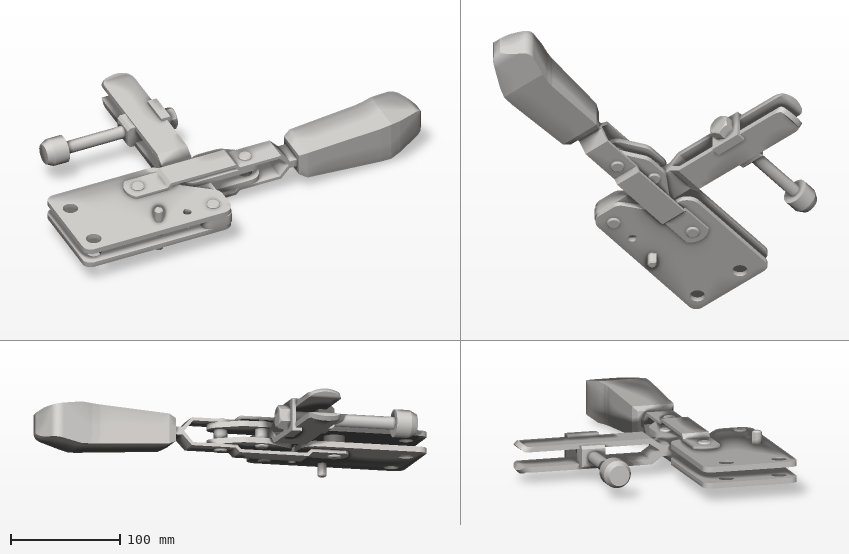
import cadquery as cq
import math


tang_thickness = 10.0
plate_thickness = 5.0
sheet_thickness = 3.0
plate_inner = tang_thickness / 2
plate_outer = plate_inner + plate_thickness
rivet_radius = 6.3
rivet_chamfer = 1.0
rivet_head_height = 2.02

lever_pivot = (0, 0)
lever_link_pivot = (0, 108.2)
arm_pivot = (50.5, 52.5)
link_rivet = (-14.5, 73.0)
link_foot = (0, 53.7)

base_left, base_right = -25.0, 65.0
base_bottom, base_top = -82.5, 67.7
base_corner_radius = 8.0
base_crest_radius = 10.5
shoulder_radius = 14.5
notch_floor = 35.5
notch_ramp_start = 8.5
notch_ramp_end = 33.0
mounting_hole_radius = 7.0
mounting_hole_y = -68.0
mounting_hole_xs = (0, 50.5)

stop_x = 50.0
stop_ys = (-2.2, 26.5)
stop_radius = 4.0
stop_ridge = 5.0
stop_length = 45.0
stop_chamfer = 1.0

overall_length_x = 230.5
arm_width = 30.0
arm_gap = 14.0
arm_tip = base_right - overall_length_x
tip_rise = 4.5
tip_arc_radius = 25.8
tip_corner_radius = 7.7
merge_outer_x = -28.5
merge_inner_x = -30.0
merge_length = 10.3

lever_width = 25.8
lever_top = 155.0
neck_half = 3.5
lever_end = -13.0
lever_end_sagitta = 5.5
neck_end, fork_start = 147.5, 138.7
bulge_low, bulge_high = 28.0, 93.0
bulge_rise = 4.0
spacer_radius = 10.0

link_radius = 13.0
link_left = base_left
link_corner_radius = 14.7
link_shoulder_ys = (69.0, 93.5)

grip_top = base_bottom + 368
grip_base_half = 10.5
grip_heel_half = 14.0
grip_heel_y = 162
grip_crown_half = 19.5
grip_crown_y = 247.0
grip_brow_half = 14.5
grip_brow_y = 277.5
grip_tip_half = 9.2
grip_tip_middle = (282.3, 12.5)
grip_right_edge = [(17.0, lever_top), (20.5, grip_heel_y), (21.5, 235.5), (20.5, 246.2), (17.0, 257.0), (3.5, 283.5)]
grip_tip_right_middle = (0.5, grip_top)
grip_tip_slope = [(-7.5, grip_top - 0.5), (-25.5, 275.5)]
grip_tip_left_middle = (-29.5, 271.2)
grip_left_edge = [(-29.8, 265.0), (-23.0, 237.0), (-21.7, 229.3), (-19.0, grip_heel_y), (-16.2, lever_top)]

spindle_x = -96.8
spindle_radius = 6.0
bracket_width = 30.0
bracket_thickness = 3.3
bracket_lip = 6.0
head_across_flats = 19.0
head_height = 10.3
head_chamfer = 2.0
block_length = 22.5
block_half_height = 10.5
block_depth = 7.7
block_chamfer = 2.5
tongue_depth = 7.7
foot_radius = 13.0
foot_face_radius = 9.5
foot_top, foot_shoulder, foot_bottom = -29.5, -43.5, -50.0


def cylinder(center, radius, half_length):
    """Cylinder along Z, centred on the mid plane."""
    bottom = cq.Workplane("XY", origin=(*center, -half_length))
    return bottom.circle(radius).extrude(2 * half_length)


def rivet(center, half_length):
    """Plain rivet with a chamfer around both heads."""
    return cylinder(center, rivet_radius, half_length).faces("<Z or >Z").chamfer(rivet_chamfer)


def both_sides(upper):
    """The shape together with its mirror image below the mid plane."""
    return upper.union(upper.mirror("XY"))


def fold_shift(thickness):
    """How far the inner corner of a 45 degree fold lies from the outer one, along the sheet."""
    return thickness * math.tan(math.radians(45 / 2))


def plate_pair(outline):
    """Two equal plates, one on each side of the tang."""
    upper = outline.extrude(plate_thickness).translate((0, 0, plate_inner))
    return upper, upper.mirror("XY")


def teardrop(center_y, half_length):
    """Round bar with a pointed ridge towards -X."""
    tangent_angle = math.acos(stop_radius / stop_ridge)
    touch_x = -stop_radius * math.cos(tangent_angle)
    touch_y = stop_radius * math.sin(tangent_angle)
    return (
        cq.Workplane("XY", origin=(stop_x, center_y, -half_length))
        .moveTo(-stop_ridge, 0)
        .lineTo(touch_x, touch_y)
        .threePointArc((stop_radius, 0), (touch_x, -touch_y))
        .close()
        .extrude(2 * half_length)
    )


def make_base():
    diagonal = shoulder_radius * (1 - math.sqrt(0.5))
    outline = (
        cq.Workplane("XY")
        .moveTo(base_left, base_bottom)
        .lineTo(base_right, base_bottom)
        .lineTo(base_right, base_top)
        .lineTo(notch_ramp_end, base_top)
        .lineTo(notch_ramp_start, notch_floor)
        .lineTo(base_left + shoulder_radius, notch_floor)
        .threePointArc(
            (base_left + diagonal, notch_floor - diagonal),
            (base_left, notch_floor - shoulder_radius),
        )
        .close()
    )
    upper, lower = plate_pair(outline)
    plates = upper.union(lower)
    plates = plates.edges("|Z").edges("<Y").fillet(base_corner_radius)
    plates = plates.edges("|Z").edges(">Y").fillet(base_crest_radius)
    for x in mounting_hole_xs:
        plates = plates.cut(cylinder((x, mounting_hole_y), mounting_hole_radius, plate_outer))
    for y in stop_ys:
        plates = plates.cut(teardrop(y, plate_outer))
    plates = plates.cut(cylinder(lever_pivot, rivet_radius, plate_outer))
    return plates.union(rivet(arm_pivot, plate_outer + rivet_head_height))


def make_stop_pin():
    return teardrop(stop_ys[0], stop_length / 2).faces("<Z or >Z").chamfer(stop_chamfer)


def make_arm():
    bar_inner = arm_gap / 2
    bar_outer = bar_inner + plate_thickness
    fold = fold_shift(plate_thickness)
    slant = plate_thickness * math.sqrt(0.5)
    bend_x = arm_tip + tip_rise
    bar_middle_y = base_top - arm_width / 2
    profile = [
        (base_right, 0),
        (merge_inner_x, 0),
        (merge_inner_x - merge_length, bar_inner),
        (bend_x, bar_inner),
        (arm_tip, bar_inner + tip_rise),
        (arm_tip + slant, bar_inner + tip_rise + slant),
        (bend_x + fold, bar_outer),
        (merge_outer_x - merge_length, bar_outer),
        (merge_outer_x, plate_inner),
        (base_right, plate_inner),
    ]
    upper = cq.Workplane("XZ").polyline(profile).close().extrude(-arm_width)
    upper = upper.translate((0, base_top - arm_width, 0))
    upper = upper.edges(cq.selectors.NearestToPointSelector((bend_x, bar_middle_y, bar_inner)))
    upper = upper.fillet(plate_thickness)
    half = arm_width / 2
    reach = overall_length_x
    sagitta = tip_arc_radius - math.sqrt(tip_arc_radius**2 - half**2)
    tip_plane = cq.Plane(origin=(arm_tip, bar_middle_y, bar_inner + tip_rise), xDir=(1, 0, -1), normal=(1, 0, 1))
    rounding = (
        cq.Workplane(tip_plane)
        .moveTo(reach, -half)
        .lineTo(sagitta, -half)
        .threePointArc((0, 0), (sagitta, half))
        .lineTo(reach, half)
        .close()
        .extrude(reach, both=True)
        .edges(cq.selectors.ParallelDirSelector(cq.Vector(1, 0, 1)))
        .edges("<X")
        .fillet(tip_corner_radius)
    )
    arm = both_sides(upper.intersect(rounding))
    arm = arm.edges("|Z and >X").fillet(base_corner_radius)
    arm = arm.cut(cylinder(arm_pivot, rivet_radius, plate_inner))
    return arm.cut(cylinder(link_rivet, rivet_radius, plate_inner))


def make_lever():
    fork_inner = plate_outer
    fork_outer = fork_inner + sheet_thickness
    fold = fold_shift(sheet_thickness)
    profile = [
        (lever_top, 0),
        (lever_top, neck_half),
        (neck_end, neck_half),
        (fork_start, fork_outer),
        (bulge_high + bulge_rise, fork_outer),
        (bulge_high, fork_outer + bulge_rise),
        (bulge_low, fork_outer + bulge_rise),
        (bulge_low - bulge_rise, fork_outer),
        (lever_end, fork_outer),
        (lever_end, fork_inner),
        (bulge_low - bulge_rise + fold, fork_inner),
        (bulge_low + fold, fork_inner + bulge_rise),
        (bulge_high - fold, fork_inner + bulge_rise),
        (bulge_high + bulge_rise - fold, fork_inner),
        (fork_start - fold, fork_inner),
        (neck_end - fold, 0),
    ]
    strips = both_sides(cq.Workplane("YZ").polyline(profile).close().extrude(lever_width / 2, both=True))
    half = lever_width / 2
    rounded_end = (
        cq.Workplane("XY")
        .moveTo(half, lever_top)
        .lineTo(-half, lever_top)
        .lineTo(-half, lever_end + lever_end_sagitta)
        .threePointArc((0, lever_end), (half, lever_end + lever_end_sagitta))
        .close()
        .extrude(fork_outer + bulge_rise, both=True)
    )
    lever = strips.intersect(rounded_end)
    for pivot in (lever_pivot, lever_link_pivot):
        lever = lever.union(rivet(pivot, fork_outer + rivet_head_height))
    return lever.union(cylinder(lever_pivot, spacer_radius, plate_inner))


def make_link():
    low, high = link_shoulder_ys

    def touch_point(center, shoulder_y, side):
        """Where the slanted edge from a left shoulder touches a round end; side is 1 for up, -1 for down."""
        dx = center[0] - link_left
        dy = abs(center[1] - shoulder_y)
        angle = math.atan2(-dy, -dx) - math.acos(link_radius / math.hypot(dx, dy))
        return (center[0] + link_radius * math.cos(angle), center[1] + side * link_radius * math.sin(angle))

    top = touch_point(lever_link_pivot, high, 1)
    bottom = touch_point(link_foot, low, -1)
    outline = (
        cq.Workplane("XY")
        .moveTo(link_left, low)
        .lineTo(link_left, high)
        .lineTo(*top)
        .threePointArc((lever_link_pivot[0], lever_link_pivot[1] + link_radius), (link_radius, lever_link_pivot[1]))
        .lineTo(link_radius, link_foot[1])
        .threePointArc((link_foot[0], link_foot[1] - link_radius), bottom)
        .close()
    )
    upper, lower = plate_pair(outline)
    plates = upper.union(lower)
    plates = plates.edges("|Z and <X").fillet(link_corner_radius)
    plates = plates.cut(cylinder(lever_link_pivot, rivet_radius, plate_outer))
    return plates.union(rivet(link_rivet, plate_outer + rivet_head_height))


def make_grip():
    outline = (
        cq.Workplane("XY")
        .polyline(grip_right_edge)
        .threePointArc(grip_tip_right_middle, grip_tip_slope[0])
        .lineTo(*grip_tip_slope[1])
        .threePointArc(grip_tip_left_middle, grip_left_edge[0])
        .polyline(grip_left_edge[1:], includeCurrent=True)
        .close()
        .extrude(grip_crown_half, both=True)
    )
    tip_y, tip_half = grip_tip_middle
    grip_width = grip_right_edge[2][0] - grip_left_edge[0][0]
    side = (
        cq.Workplane("YZ")
        .moveTo(lever_top, -grip_base_half)
        .lineTo(lever_top, grip_base_half)
        .lineTo(grip_heel_y, grip_heel_half)
        .lineTo(grip_crown_y, grip_crown_half)
        .lineTo(grip_brow_y, grip_brow_half)
        .threePointArc((tip_y, tip_half), (grip_top, grip_tip_half))
        .lineTo(grip_top, -grip_tip_half)
        .threePointArc((tip_y, -tip_half), (grip_brow_y, -grip_brow_half))
        .lineTo(grip_crown_y, -grip_crown_half)
        .lineTo(grip_heel_y, -grip_heel_half)
        .close()
        .extrude(grip_width, both=True)
    )
    return outline.intersect(side)


def make_spindle():
    arm_bottom = base_top - arm_width
    bar_inner = arm_gap / 2
    bar_outer = bar_inner + plate_thickness

    def turned(radius, low, high):
        """Cylinder about the spindle axis between two heights along Y."""
        return cq.Workplane("XZ", origin=(spindle_x, low, 0)).circle(radius).extrude(low - high)

    def across(points, length):
        """Prism along X, centred on the spindle, from an outline in Y and Z."""
        return (
            cq.Workplane("YZ", origin=(spindle_x, 0, 0)).polyline(points).close().extrude(length / 2, both=True)
        )

    bracket_top = base_top + bracket_thickness
    bracket_half = bracket_width / 2
    bracket = across(
        [
            (bracket_top, -bracket_half),
            (bracket_top, bracket_half),
            (base_top - bracket_lip, bracket_half),
            (base_top - bracket_lip, bar_outer),
            (base_top, bar_outer),
            (base_top, -bar_outer),
            (base_top - bracket_lip, -bar_outer),
            (base_top - bracket_lip, -bracket_half),
        ],
        bracket_width,
    )
    block_bottom = arm_bottom - block_depth
    half = block_half_height
    block = across(
        [
            (arm_bottom + tongue_depth, -bar_inner),
            (arm_bottom + tongue_depth, bar_inner),
            (arm_bottom, bar_inner),
            (arm_bottom, half),
            (block_bottom + block_chamfer, half),
            (block_bottom, half - block_chamfer),
            (block_bottom, block_chamfer - half),
            (block_bottom + block_chamfer, -half),
            (arm_bottom, -half),
            (arm_bottom, -bar_inner),
        ],
        block_length,
    )
    head = (
        cq.Workplane("XZ", origin=(spindle_x, bracket_top, 0))
        .polygon(6, head_across_flats, circumscribed=True)
        .extrude(-head_height)
    )
    head_limit = turned(head_across_flats / math.sqrt(3), bracket_top, bracket_top + head_height)
    head = head.intersect(head_limit.faces(">Y").chamfer(head_chamfer))
    foot = turned(foot_radius, foot_bottom, foot_top)
    foot = foot.faces("<Y").chamfer(foot_shoulder - foot_bottom, foot_radius - foot_face_radius)
    shank = turned(spindle_radius, foot_top, bracket_top)
    return shank.union(foot).union(block).union(bracket).union(head)


base = make_base()
stop_pin = make_stop_pin()
arm = make_arm()
lever = make_lever()
link = make_link()
grip = make_grip()
spindle = make_spindle()

result = cq.Compound.makeCompound(
    [base.val(), stop_pin.val(), arm.val(), lever.val(), link.val(), grip.val(), spindle.val()]
)